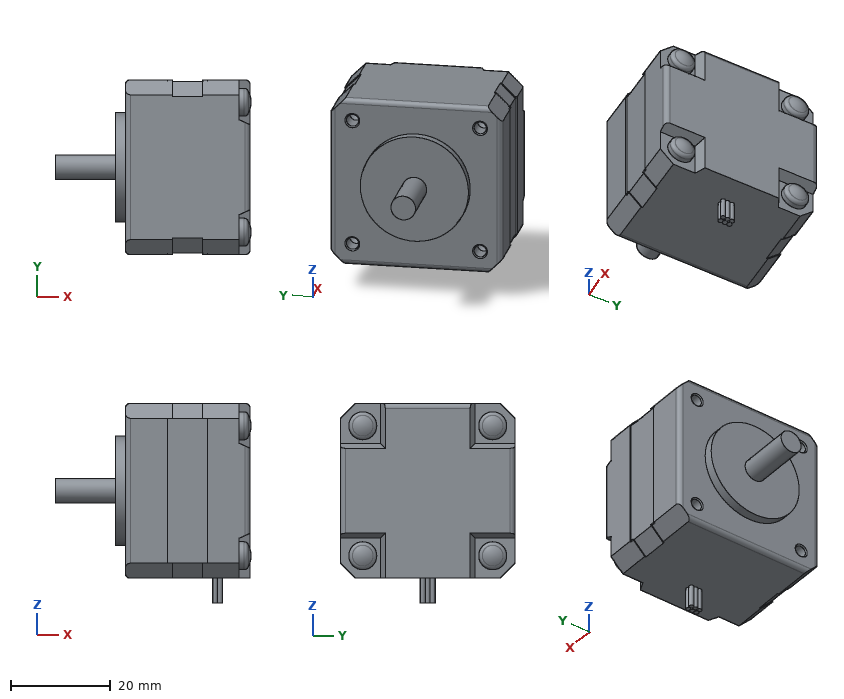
import cadquery as cq
import math

body_length = 25.0
body_width = 35.0
corner_chamfer = 3.0
edge_radius = 1.0

shaft_diameter = 5.0
shaft_length = 12
pilot_diameter = 22
pilot_height = 2

stack_recess = 0.3
stack_length_on_sides = 8
stack_length_on_corners = 6

pocket_depth = 2.2
pocket_width = 8
pocket_mouth_width = 9.0
pocket_clearance = 2

fastener_spacing = 26
hole_diameter = 2.5
hole_mouth_diameter = 3.0
hole_depth = 4
drill_tip_angle = 118

screw_head_diameter = 5.6
screw_rim_height = 1.0
screw_shoulder_height = 1.85
screw_crown_diameter = 4.15
screw_head_height = 2.4

wire_diameter = 1.05
wire_pitch = 1.0
wire_length = 5.0
wire_rows = 2
wires_per_row = 3
wire_center_x = 18.5

half_width = body_width / 2
flat_half_width = half_width - corner_chamfer
corner_signs = [(sy, sz) for sy in (-1, 1) for sz in (-1, 1)]
fastener_points = [(sy * fastener_spacing / 2, sz * fastener_spacing / 2) for sy, sz in corner_signs]


def cylinder_x(diameter, start, length):
    return cq.Workplane("YZ", origin=(start, 0, 0)).circle(diameter / 2).extrude(length)


def chamfered_bar(width_y):
    """Bar of full height and length along X with its four long corners cut at 45 degrees."""
    bar = cq.Workplane("YZ").rect(width_y, body_width).extrude(body_length)
    return bar.edges("|X").chamfer(corner_chamfer)


def make_housing():
    """Block with rounded end edges, except the rear bottom edge, and cut corners."""
    block = cq.Workplane("YZ").rect(body_width, body_width).extrude(body_length)
    rear_edges = cq.selectors.StringSyntaxSelector(">X and (|Z or (|Y and >Z))")
    block = block.faces("<X").edges().fillet(edge_radius)
    block = block.edges(rear_edges).fillet(edge_radius)
    return block.intersect(chamfered_bar(body_width))


def make_stack_recess():
    """Material removed around the stack: long on the Y sides, shorter on the corners."""
    stack_width = body_width - 2 * stack_recess
    middle = body_length / 2
    side_band = cq.Workplane("XY").box(stack_length_on_sides, 2 * body_width, 2 * flat_half_width)
    corner_band = cq.Workplane("XY").box(stack_length_on_corners, 2 * body_width, body_width)
    bands = side_band.union(corner_band).translate((middle, 0, 0))
    return bands.cut(chamfered_bar(stack_width))


def make_corner_pocket(sign_y, sign_z):
    """Square pocket at a rear corner whose two inner walls flare toward the rear."""
    floor_x = body_length - pocket_depth
    outside = half_width + pocket_clearance
    floor_side = pocket_clearance + pocket_width
    mouth_side = pocket_clearance + pocket_mouth_width
    floor_center = outside - floor_side / 2
    shift = (floor_side - mouth_side) / 2
    return (
        cq.Workplane("YZ", origin=(floor_x, 0, 0))
        .center(sign_y * floor_center, sign_z * floor_center)
        .rect(floor_side, floor_side)
        .workplane(offset=pocket_depth)
        .center(sign_y * shift, sign_z * shift)
        .rect(mouth_side, mouth_side)
        .loft(ruled=True)
    )


def make_threaded_hole():
    """Blind hole along +X with a countersunk mouth and a drill-tip bottom."""
    radius = hole_diameter / 2
    mouth_radius = hole_mouth_diameter / 2
    tip_length = radius / math.tan(math.radians(drill_tip_angle / 2))
    profile = [
        (0, 0),
        (0, mouth_radius),
        (mouth_radius - radius, radius),
        (hole_depth, radius),
        (hole_depth + tip_length, 0),
    ]
    return cq.Workplane("XY").polyline(profile).close().revolve(360, (0, 0, 0), (1, 0, 0))


def make_screw_head():
    """Pan head seated at X = 0: straight rim, rounded shoulder and shallow crown."""
    radius = screw_head_diameter / 2
    crown_radius = screw_crown_diameter / 2
    crown_height = screw_head_height - screw_shoulder_height
    sphere_radius = (crown_radius**2 + crown_height**2) / (2 * crown_height)
    half_crown_angle = math.asin(crown_radius / sphere_radius) / 2
    crown_middle = (
        screw_head_height - sphere_radius * (1 - math.cos(half_crown_angle)),
        sphere_radius * math.sin(half_crown_angle),
    )
    return (
        cq.Workplane("XY")
        .lineTo(0, radius)
        .lineTo(screw_rim_height, radius)
        .tangentArcPoint((screw_shoulder_height, crown_radius), relative=False)
        .threePointArc(crown_middle, (screw_head_height, 0))
        .close()
        .revolve(360, (0, 0, 0), (1, 0, 0))
    )


def make_wire(row, column):
    """One lead wire of the bundle below the bottom face; its top end sits inside the housing."""
    x = wire_center_x + wire_pitch * (row - (wire_rows - 1) / 2)
    y = wire_pitch * (column - (wires_per_row - 1) / 2)
    return (
        cq.Workplane("XY", origin=(x, y, -half_width - wire_length))
        .circle(wire_diameter / 2)
        .extrude(wire_length + wire_diameter)
    )


result = make_housing().cut(make_stack_recess())

for sign_y, sign_z in corner_signs:
    result = result.cut(make_corner_pocket(sign_y, sign_z))

for y, z in fastener_points:
    result = result.cut(make_threaded_hole().translate((0, y, z)))
    result = result.union(make_screw_head().translate((body_length - pocket_depth, y, z)))

result = result.union(cylinder_x(pilot_diameter, -pilot_height, pilot_height))
result = result.union(cylinder_x(shaft_diameter, -pilot_height - shaft_length, shaft_length))

for row in range(wire_rows):
    for column in range(wires_per_row):
        result = result.union(make_wire(row, column))